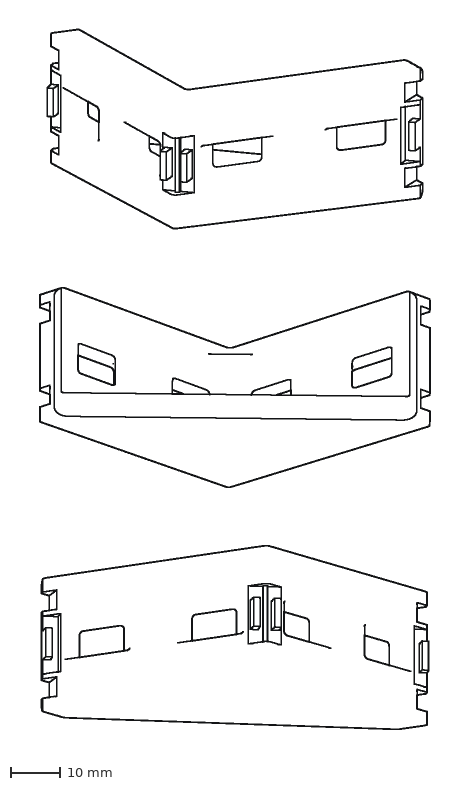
import cadquery as cq
import math


LEG_LENGTH = 57.0
LEG_THICKNESS = 6.0
HEIGHT = 28.0
HYPOTENUSE_OFFSET = 62.0
FLOOR_THICKNESS = 5.1
DRAFT_ANGLE = 1.0
INNER_CORNER_RADIUS = 1.0
FLOOR_FILLET = 0.4

CORNER_RADIUS = 1.0
END_RADIUS = 2.0
EDGE_RADIUS = 0.6
END_CHAMFER_LENGTH = 1.1
END_CHAMFER_DEPTH = 1.0

SLOT_LENGTH = 11.0
SLOT_HEIGHT = 6.4
SLOT_STARTS_AND_RUNOUTS = ((12.0, 6.2), (40.0, 6.0))
SLOT_RADIUS = 0.8
SLOT_FLARE = 0.4
SLOT_END_FLARE = 0.15
SLOT_RIM_FILLET = 0.25

TAB_HEIGHT = 6.0
TAB_TIP_THICKNESS = 1.32
TAB_DRAFT_ANGLE = 3.0
TAB_PROJECTION = 1.89
GROOVE_HEIGHT = 12.0
END_GROOVE_DEPTH = 2.22
END_GROOVE_ANGLE = 45.0
CORNER_GROOVE_DEPTH = 2.05
CORNER_GROOVE_ANGLE = 42.7
END_TAB_POSITION = LEG_LENGTH - END_CHAMFER_LENGTH
CORNER_TAB_POSITION = 4.75
CORNER_TAB_INSET = 0.25
CORNER_CUT_OFFSET = 3.55

NOTCH_HEIGHT = 4.0
NOTCH_SPACING = 18.0
NOTCH_LENGTH = 4.6
NOTCH_DEPTH = 3.75

GUSSET_BOTTOM = 21.0
GUSSET_HEIGHT = 4.0
GUSSET_OFFSET = 19.0
GUSSET_EDGE_RADIUS = 0.2
GUSSET_BLEND_RADIUS = 0.4

MID_HEIGHT = HEIGHT / 2
MIRROR_NORMAL = cq.Vector(1, 1, 0)


def with_mirror(shape):
    """The X-leg feature together with its Y-leg twin, as one compound."""
    return cq.Compound.makeCompound([shape.val(), shape.val().mirror(MIRROR_NORMAL)])


def plate(points, center_z, height):
    """Prism over a plan polygon, centred at the given height."""
    return cq.Workplane("XY", origin=(0, 0, center_z - height / 2)).polyline(points).close().extrude(height)


def drafted_space(outer_z):
    """Everything above a plane at outer_z on the sloping side, rising towards the corner."""
    reach = HYPOTENUSE_OFFSET / math.sqrt(2)
    corner_z = outer_z + reach * math.tan(math.radians(DRAFT_ANGLE))
    section = cq.Plane(origin=(0, 0, 0), xDir=(-1, 1, 0), normal=(1, 1, 0))
    profile = [(0, corner_z), (reach, outer_z), (reach, HEIGHT), (0, HEIGHT)]
    return cq.Workplane(section).polyline(profile).close().extrude(2 * LEG_LENGTH, both=True)


def corner_prism(offset, center_z, height):
    """Triangular prism at the outer corner, bounded by the vertical plane y - x = offset."""
    return plate([(0, 0), (-offset, 0), (0, offset)], center_z, height)


def make_outer_block():
    """Triangular block with its outer edges rounded and its leg ends trimmed."""
    size = HYPOTENUSE_OFFSET
    block = cq.Workplane("XY").box(size, size, HEIGHT, centered=False).translate((-size, 0, 0))
    block = block.intersect(drafted_space(0)).intersect(corner_prism(size, MID_HEIGHT, HEIGHT))
    block = block.edges("|Z").edges(cq.selectors.NearestToPointSelector((0, 0, MID_HEIGHT)))
    block = block.fillet(CORNER_RADIUS)
    block = block.faces("<Y").edges("not |Z").fillet(EDGE_RADIUS)
    end_trim = (
        cq.Workplane("XY")
        .box(2 * LEG_LENGTH, 2 * LEG_LENGTH, HEIGHT)
        .edges("|Y")
        .fillet(END_RADIUS)
        .translate((0, 0, MID_HEIGHT))
    )
    block = block.intersect(end_trim)
    return block.intersect(cq.Workplane(end_trim.val().mirror(MIRROR_NORMAL)))


def make_pocket():
    """Open space between the legs, above the drafted floor."""
    pocket = cq.Workplane("XY").box(LEG_LENGTH, LEG_LENGTH, HEIGHT, centered=False)
    pocket = pocket.translate((-LEG_THICKNESS - LEG_LENGTH, LEG_THICKNESS, 0))
    pocket = pocket.intersect(drafted_space(FLOOR_THICKNESS))
    inner_corner = (-LEG_THICKNESS, LEG_THICKNESS, MID_HEIGHT)
    pocket = pocket.edges("|Z").edges(cq.selectors.NearestToPointSelector(inner_corner))
    pocket = pocket.fillet(INNER_CORNER_RADIUS)
    return pocket.faces("<Y").edges("<Z").fillet(FLOOR_FILLET)


def add_gusset(bracket):
    """Add a triangular web in the inner corner, its free edges rounded, blended into the legs."""
    center_z = GUSSET_BOTTOM + GUSSET_HEIGHT / 2
    gusset = corner_prism(GUSSET_OFFSET, center_z, GUSSET_HEIGHT)
    gusset = gusset.faces("<(1, -1, 0)").edges("not |Z").fillet(GUSSET_EDGE_RADIUS)
    bracket = bracket.union(gusset.cut(corner_prism(2 * LEG_THICKNESS, center_z, GUSSET_HEIGHT)))

    margin = GUSSET_BLEND_RADIUS / 2
    near = LEG_THICKNESS - margin
    reach = GUSSET_OFFSET - LEG_THICKNESS + margin
    around_gusset = cq.selectors.BoxSelector(
        (-reach, near, GUSSET_BOTTOM - margin),
        (-near, reach, GUSSET_BOTTOM + GUSSET_HEIGHT + margin),
    )
    return bracket.edges(around_gusset).edges("not |(1, 1, 0)").fillet(GUSSET_BLEND_RADIUS)


def make_end_chamfer():
    outer = -LEG_LENGTH
    corner = [(outer, 0), (outer + END_CHAMFER_LENGTH, 0), (outer, END_CHAMFER_DEPTH)]
    return plate(corner, MID_HEIGHT, HEIGHT)


def make_notch(center_z):
    outer = -LEG_LENGTH
    corner = [(outer, 0), (outer + NOTCH_LENGTH, 0), (outer, NOTCH_DEPTH)]
    return plate(corner, center_z, NOTCH_HEIGHT)


def make_slot(start, runout):
    """Slot that widens towards the outer face, most of all on the side nearer the corner."""
    inner = (
        cq.Workplane("XZ", origin=(-start - SLOT_LENGTH / 2, LEG_THICKNESS, MID_HEIGHT))
        .rect(SLOT_LENGTH, SLOT_HEIGHT)
    )
    slot = (
        inner.workplane(offset=LEG_THICKNESS)
        .center((runout - SLOT_END_FLARE) / 2, 0)
        .rect(SLOT_LENGTH + runout + SLOT_END_FLARE, SLOT_HEIGHT + 2 * SLOT_FLARE)
        .loft(ruled=True)
    )
    return slot.edges("not (|X or |Z)").fillet(SLOT_RADIUS)


def make_groove(position, depth, far_wall_angle):
    """V-groove starting at the given distance from the corner with a 45-degree root wall."""
    far_wall_run = depth / math.tan(math.radians(far_wall_angle))
    points = [(-position, 0), (depth - position, depth), (depth - position + far_wall_run, 0)]
    return plate(points, MID_HEIGHT, GROOVE_HEIGHT)


def make_tab(position, inset):
    """Tapered tab standing on the root wall of a groove and leaning 45 degrees to the corner."""
    taper = math.tan(math.radians(TAB_DRAFT_ANGLE))
    length = (TAB_PROJECTION + inset) * math.sqrt(2) / (1 - taper)
    tip_half = TAB_TIP_THICKNESS / 2
    root_half = tip_half + length * taper
    tab = plate(
        [(0, -root_half), (length, -tip_half), (length, tip_half), (0, root_half)],
        MID_HEIGHT,
        TAB_HEIGHT,
    )
    tab = tab.translate((0, root_half, 0)).rotate((0, 0, 0), (0, 0, 1), -45)
    return tab.translate((inset - position, inset, 0))


def cut_slots(bracket):
    """Cut the slots through both legs and round their rims on the outer faces."""
    for start, runout in SLOT_STARTS_AND_RUNOUTS:
        bracket = bracket.cut(cq.Workplane(with_mirror(make_slot(start, runout))))
    for outer_face in ("<Y", ">X"):
        rims = [edge for wire in bracket.faces(outer_face).val().innerWires() for edge in wire.Edges()]
        bracket = bracket.newObject(rims).fillet(SLOT_RIM_FILLET)
    return bracket


def make_bracket():
    bracket = add_gusset(cut_slots(make_outer_block().cut(make_pocket())))

    cuts = [
        make_end_chamfer(),
        make_groove(END_TAB_POSITION, END_GROOVE_DEPTH, END_GROOVE_ANGLE),
        make_groove(CORNER_TAB_POSITION, CORNER_GROOVE_DEPTH, CORNER_GROOVE_ANGLE),
    ]
    for side in (-1, 1):
        cuts.append(make_notch(MID_HEIGHT + side * NOTCH_SPACING / 2))
    for cut in cuts:
        bracket = bracket.cut(cq.Workplane(with_mirror(cut)))
    bracket = bracket.cut(corner_prism(CORNER_CUT_OFFSET, MID_HEIGHT, GROOVE_HEIGHT))

    for tab in (make_tab(END_TAB_POSITION, 0), make_tab(CORNER_TAB_POSITION, CORNER_TAB_INSET)):
        bracket = bracket.union(cq.Workplane(with_mirror(tab)))
    return bracket


result = make_bracket()